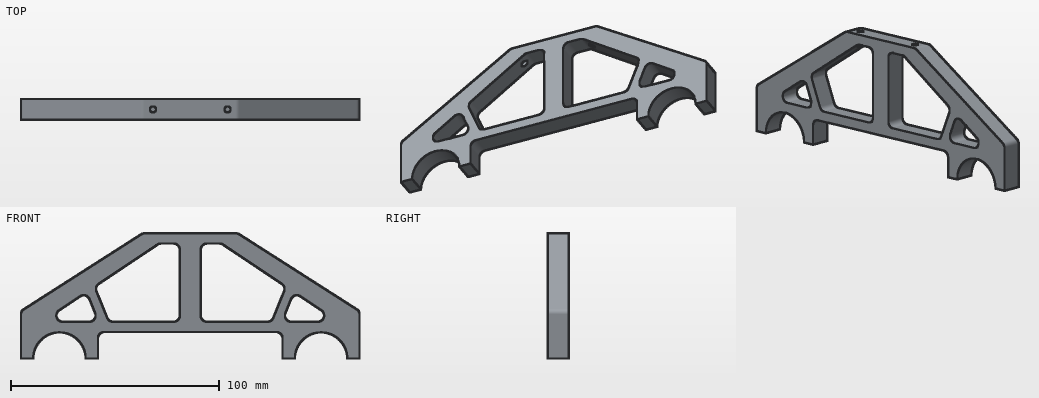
import cadquery as cq

length = 162.2
thickness = 10.0
height = 60.0
half_length = length / 2
corner_radius = 3.0

shoulder_height = 22.7
top_half_width = 22.7
leg_width = 37.0
underside_height = 12.7
saddle_radius = 12.5
saddle_x = half_length - leg_width / 2
leg_inner_x = half_length - leg_width

wall = 5.0
post_half_width = 5.0
window_floor = underside_height + wall
window_roof = height - wall
large_roof_x = 15.0
large_side_x, large_side_z = 45.8, 34.4
large_floor_x = 39.0
small_inner_x = 44.0
small_apex_x, small_apex_z = 49.6, 31.8
small_tip_x = 70.7

hole_diameter = 3.0
hole_x = 17.8
hole_depth = 8.1


def prism(points):
    """Extrude an XZ outline through the thickness, centred on Y."""
    return cq.Workplane("XZ").polyline(points).close().extrude(thickness / 2, both=True)


def rounded_window(points, side):
    """Window cutter with rounded corners; side is -1 (left) or 1 (right)."""
    placed = [(side * x, z) for x, z in points]
    return prism(placed).edges("|Y").fillet(corner_radius)


def make_body():
    right_half = [
        (top_half_width, height),
        (half_length, shoulder_height),
        (half_length, 0),
        (leg_inner_x, 0),
        (leg_inner_x, underside_height),
    ]
    left_half = [(-x, z) for x, z in reversed(right_half)]
    body = prism(right_half + left_half)
    return body.edges("|Y and (not <Z)").fillet(corner_radius)


large_window = [
    (post_half_width, window_floor),
    (post_half_width, window_roof),
    (large_roof_x, window_roof),
    (large_side_x, large_side_z),
    (large_floor_x, window_floor),
]
small_window = [
    (small_inner_x, window_floor),
    (small_apex_x, small_apex_z),
    (small_tip_x, window_floor),
]

result = make_body()
for side in (-1, 1):
    result = result.cut(rounded_window(large_window, side))
    result = result.cut(rounded_window(small_window, side))

    saddle = (
        cq.Workplane("XZ")
        .center(side * saddle_x, 0)
        .circle(saddle_radius)
        .extrude(thickness / 2, both=True)
    )
    result = result.cut(saddle)

    hole = (
        cq.Workplane("XY", origin=(side * hole_x, 0, height - hole_depth))
        .circle(hole_diameter / 2)
        .extrude(hole_depth)
    )
    result = result.cut(hole)